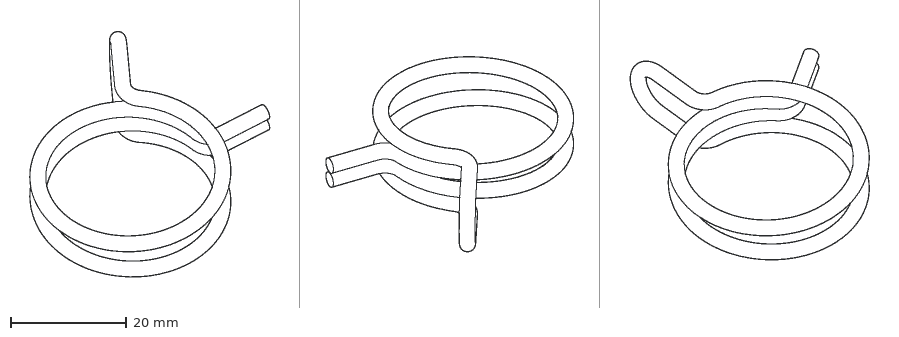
import cadquery as cq
import math

wire_diameter = 2.8
ring_outer_diameter = 34.85
overall_height = 12.4
tail_height = 1.45
tail_end_radius = 28.2
leg_tilt = 30.0
coil_end_tilt = 20.0

wire_radius = wire_diameter / 2
coil_radius = (ring_outer_diameter - wire_diameter) / 2
hairpin_radius = (overall_height - wire_diameter) / 2
hairpin_tip_radius = 2 * coil_radius

bend_sine = math.sin(math.radians(leg_tilt - coil_end_tilt))
bend_radius = coil_radius * bend_sine / (1 - bend_sine)
bend_center_radius = coil_radius + bend_radius
leg_start_radius = math.sqrt(bend_center_radius**2 - bend_radius**2)

coil_sweep = 360 + 2 * coil_end_tilt
coil_rise = hairpin_radius - tail_height
coil_pitch = coil_rise * 360 / coil_sweep


def polar(radius, tilt, z):
    """Point at a distance from the coil axis, tilted from +Y toward +X."""
    angle = math.radians(tilt)
    return cq.Vector(radius * math.sin(angle), radius * math.cos(angle), z)


def bend(side, z):
    """Arc from the coil end to the leg start; side is +1 for +X and -1 for -X."""
    center = polar(bend_center_radius, side * coil_end_tilt, z)
    coil_end = polar(coil_radius, side * coil_end_tilt, z)
    leg_start = polar(leg_start_radius, side * leg_tilt, z)
    toward_middle = ((coil_end - center) + (leg_start - center)).normalized()
    return cq.Edge.makeThreePointArc(coil_end, center + toward_middle * bend_radius, leg_start)


def leg(side, z, end_radius):
    return cq.Edge.makeLine(
        polar(leg_start_radius, side * leg_tilt, z), polar(end_radius, side * leg_tilt, z)
    )


def sweep_wire(edges, side, z):
    """Sweep the round section along edges that start at the coil end on the given side."""
    section_plane = cq.Plane(
        origin=polar(coil_radius, side * coil_end_tilt, z).toTuple(),
        xDir=(0, 0, 1),
        normal=polar(1, side * (coil_end_tilt + 90), 0).toTuple(),
    )
    path = cq.Workplane(obj=cq.Wire.assembleEdges(edges))
    return cq.Workplane(section_plane).circle(wire_radius).sweep(path, isFrenet=True)


def make_coil():
    """Upper coil, rising counterclockwise from the tail bend to the handle bend."""
    helix = cq.Wire.makeHelix(coil_pitch, coil_rise, coil_radius)
    helix = helix.rotate(cq.Vector(0, 0, 0), cq.Vector(0, 0, 1), 90 - coil_end_tilt)
    helix = helix.translate(cq.Vector(0, 0, tail_height))
    return sweep_wire(helix.Edges(), 1, tail_height)


def make_tail():
    return sweep_wire([bend(1, tail_height), leg(1, tail_height, tail_end_radius)], 1, tail_height)


def make_handle_half():
    """Upper half of the hairpin handle, ending at its tip on the mid-plane."""
    turn_start_radius = hairpin_tip_radius - hairpin_radius
    turn_offset = hairpin_radius * math.sqrt(0.5)
    turn = cq.Edge.makeThreePointArc(
        polar(turn_start_radius, -leg_tilt, hairpin_radius),
        polar(turn_start_radius + turn_offset, -leg_tilt, turn_offset),
        polar(hairpin_tip_radius, -leg_tilt, 0),
    )
    edges = [bend(-1, hairpin_radius), leg(-1, hairpin_radius, turn_start_radius), turn]
    return sweep_wire(edges, -1, hairpin_radius)


upper_half = make_coil().union(make_tail()).union(make_handle_half())
result = upper_half.union(upper_half.mirror("XY"))